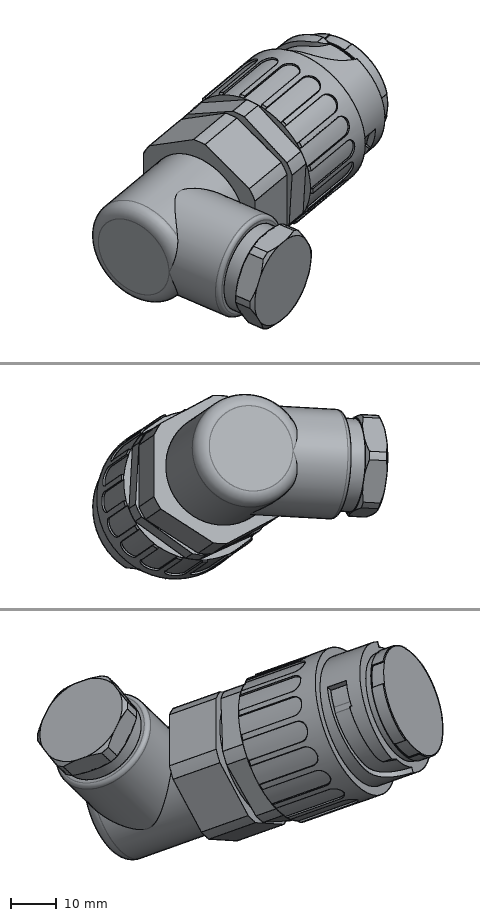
import math

import cadquery as cq


elbow_diameter = 25.0
branch_diameter = 24.0
elbow_start_y = -branch_diameter / 2
elbow_end_y = branch_diameter / 2
elbow_fillet = 3.0
branch_end_x = 23.0
branch_fillet = 1.0

gland_neck_diameter = 20.4
gland_nut_start_x = 26.45
gland_nut_end_x = 31.5
gland_nut_flats = 20.8
gland_nut_diameter = 23.0
gland_nut_chamfer_radial = 1.0
gland_nut_chamfer_axial = 0.6

body_hex_start_y = 12.55
body_hex_end_y = 24.5
ring_hex_start_y = 25.9
grip_start_y = 31.1
grip_end_y = 51.0
bayonet_end_y = 61.15
collar_start_y = 62.6
coupling_end_y = 65.72

coupling_hex_flats = 30.0
coupling_hex_diameter = 33.0
ring_rotation = 3.3

elbow_neck_diameter = 23.0
hex_neck_diameter = 27.0
grip_diameter = 34.0
grip_chamfer = 0.4
bayonet_diameter = 30.0
insert_diameter = 25.0
collar_diameter = 25.6
collar_chamfer = 0.2
collar_lip = 0.15
collar_recess_width = 6.0

flute_count = 18
flute_width = 4.6
flute_depth = 0.45
flute_end_y = 47.2

groove_count = 2
groove_slope = 0.059
groove_slope_angle = math.atan(groove_slope)
groove_floor_radius = 13.8
groove_closed_angle = -87.0
lower_edge = (54.13, -1.2, 10.1)
upper_edge = (58.26, -4.0, 5.3)
groove_sections = 14
tongue_overrun = 5.0
pocket_floor_radius = 13.5
pocket_ramp_top_angle = -63.0
pocket_ramp_foot_angle = -69.0
pocket_widening = 0.5
tip_bevel_start_x = -1.6
tip_bevel_end_x = 0.6

clearance = 2.0


def disc(diameter, start_y, end_y):
    """Cylinder on the coupling axis."""
    base = cq.Workplane("XZ", origin=(0, start_y, 0))
    return base.circle(diameter / 2).extrude(start_y - end_y)


def hexagon(flats, length):
    """Hexagonal prism along Z with two corners on the Y axis."""
    corner_diameter = flats / math.cos(math.pi / 6)
    prism = cq.Workplane("XY").polygon(6, corner_diameter).extrude(length)
    return prism.rotate((0, 0, 0), (0, 0, 1), 90)


def coupling_hexagon(start_y, end_y, rotation):
    """Hexagon on the coupling axis, its corners turned down to a cylinder."""
    length = end_y - start_y
    turned = cq.Workplane("XY").circle(coupling_hex_diameter / 2).extrude(length)
    prism = hexagon(coupling_hex_flats, length).intersect(turned)
    prism = prism.rotate((0, 0, 0), (1, 0, 0), -90).translate((0, start_y, 0))
    return prism.rotate((0, 0, 0), (0, 1, 0), rotation)


def elbow():
    """Round elbow body with the cable branch leaving toward +X."""
    body = disc(elbow_diameter, elbow_start_y, elbow_end_y).faces("<Y").edges().fillet(elbow_fillet)
    branch = cq.Workplane("YZ").circle(branch_diameter / 2).extrude(branch_end_x)
    branch = branch.faces(">X").edges().fillet(branch_fillet)
    return body.union(branch)


def gland_nut():
    """Neck and hexagonal nut at the end of the branch, chamfered at both ends."""
    neck = cq.Workplane("YZ").circle(gland_neck_diameter / 2).extrude(gland_nut_start_x + clearance)
    length = gland_nut_end_x - gland_nut_start_x
    turned = cq.Workplane("XY").circle(gland_nut_diameter / 2).extrude(length)
    turned = turned.faces("<Z").edges().chamfer(gland_nut_chamfer_axial, gland_nut_chamfer_radial)
    turned = turned.faces(">Z").edges().chamfer(gland_nut_chamfer_axial, gland_nut_chamfer_radial)
    nut = hexagon(gland_nut_flats, length).intersect(turned)
    nut = nut.rotate((0, 0, 0), (0, 1, 0), 90).translate((gland_nut_start_x, 0, 0))
    return neck.union(nut)


def grip():
    """Grip sleeve with round-ended flutes open toward the elbow."""
    sleeve = disc(grip_diameter, grip_start_y, grip_end_y).faces("<Y").edges().chamfer(grip_chamfer)
    end_radius = flute_width / 2
    straight_end_y = flute_end_y - end_radius
    cutter = (
        cq.Workplane("XY")
        .moveTo(-end_radius, grip_start_y - clearance)
        .lineTo(end_radius, grip_start_y - clearance)
        .lineTo(end_radius, straight_end_y)
        .threePointArc((0, flute_end_y), (-end_radius, straight_end_y))
        .close()
        .extrude(grip_diameter)
    )
    core = disc(grip_diameter - 2 * flute_depth, grip_start_y - 2 * clearance, grip_end_y)
    cutter = cutter.cut(core)
    for index in range(flute_count):
        angle = ring_rotation + index * 360 / flute_count
        sleeve = sleeve.cut(cutter.rotate((0, 0, 0), (0, 1, 0), angle))
    return sleeve


def ring_point(radius, angle_degrees):
    """(X, Z) point around the coupling axis at an angle from +Z toward +X."""
    angle = math.radians(angle_degrees)
    return radius * math.sin(angle), radius * math.cos(angle)


def bend_center(edge):
    """Center of an edge's circular bend on the unrolled ring, tangent to its helical run."""
    start_y, start, radius = edge
    return start - radius * math.sin(groove_slope_angle), start_y + radius * math.cos(groove_slope_angle)


def edge_height(edge, distance):
    """Y of a groove edge at a distance around the ring: a helix, then a circular bend toward +Y."""
    start_y, start, radius = edge
    if distance < start:
        return start_y + (distance - start) * groove_slope
    center, center_y = bend_center(edge)
    return center_y - math.sqrt(radius**2 - (distance - center) ** 2)


def exit_distance(edge):
    """Distance around the ring at which an edge reaches the ring's free end."""
    center, center_y = bend_center(edge)
    return center + math.sqrt(edge[2] ** 2 - (center_y - bayonet_end_y) ** 2)


def region_above(edge, start_angle, margin):
    """Radial-walled solid above a groove edge, from a start angle to where the edge leaves the ring."""
    ring_radius = bayonet_diameter / 2
    start = math.radians(start_angle) * ring_radius
    end = exit_distance(edge)
    inner_radius = ring_radius - margin
    outer_radius = ring_radius + margin
    top_y = bayonet_end_y + margin
    wires = []
    for index in range(groove_sections + 1):
        distance = start + (end - start) * index / groove_sections
        angle = math.degrees(distance / ring_radius)
        edge_y = edge_height(edge, distance)
        inner_x, inner_z = ring_point(inner_radius, angle)
        outer_x, outer_z = ring_point(outer_radius, angle)
        corners = [
            cq.Vector(inner_x, edge_y, inner_z),
            cq.Vector(outer_x, edge_y, outer_z),
            cq.Vector(outer_x, top_y, outer_z),
            cq.Vector(inner_x, top_y, inner_z),
        ]
        wires.append(cq.Wire.makePolygon(corners, close=True))
    return cq.Workplane(cq.Solid.makeLoft(wires))


def groove_band(upper):
    """Region between the lower edge and the given upper edge, without a floor."""
    tongue = region_above(upper, groove_closed_angle - tongue_overrun, 2 * clearance)
    return region_above(lower_edge, groove_closed_angle, clearance).cut(tongue)


def along_bayonet(outline):
    """Prism over the bayonet ring's length from a closed outline in (X, Z)."""
    length = bayonet_end_y - grip_end_y
    return outline.extrude(-length).translate((0, grip_end_y, 0))


def groove_pocket():
    """Wider and deeper closed end of the groove, reached down a short ramp."""
    outer_radius = bayonet_diameter / 2 + clearance
    ramp_top = ring_point(groove_floor_radius, pocket_ramp_top_angle)
    ramp_foot = ring_point(pocket_floor_radius, pocket_ramp_foot_angle)
    floor_middle = ring_point(pocket_floor_radius, (pocket_ramp_foot_angle + groove_closed_angle) / 2)
    floor_end = ring_point(pocket_floor_radius, groove_closed_angle)
    outer_end = ring_point(outer_radius, groove_closed_angle)
    outer_middle = ring_point(outer_radius, (pocket_ramp_top_angle + groove_closed_angle) / 2)
    outer_start = ring_point(outer_radius, pocket_ramp_top_angle)
    outline = (
        cq.Workplane("XZ")
        .moveTo(*ramp_top)
        .lineTo(*ramp_foot)
        .threePointArc(floor_middle, floor_end)
        .lineTo(*outer_end)
        .threePointArc(outer_middle, outer_start)
        .close()
    )
    edge_y, start, radius = upper_edge
    widened_edge = (edge_y + pocket_widening, start, radius)
    return along_bayonet(outline).intersect(groove_band(widened_edge))


def tip_bevel():
    """Wedge that slopes the tongue tip beside the groove mouth down to the groove floor."""
    ring_radius = bayonet_diameter / 2
    start_z = math.sqrt(ring_radius**2 - tip_bevel_start_x**2)
    outline = cq.Workplane("XZ").polyline(
        [
            (tip_bevel_start_x, start_z),
            (tip_bevel_end_x, groove_floor_radius),
            (tip_bevel_end_x, ring_radius + clearance),
            (tip_bevel_start_x, ring_radius + clearance),
        ]
    )
    above_upper_edge = region_above(upper_edge, groove_closed_angle, clearance)
    return along_bayonet(outline.close()).intersect(above_upper_edge)


def bayonet_ring():
    """Ring with two helical grooves that open at its free end and finish in a deeper pocket."""
    ring = disc(bayonet_diameter, grip_end_y, bayonet_end_y)
    core = disc(2 * groove_floor_radius, grip_end_y, bayonet_end_y + 2 * clearance)
    cutters = [groove_band(upper_edge).cut(core), groove_pocket(), tip_bevel()]
    for index in range(groove_count):
        for cutter in cutters:
            ring = ring.cut(cutter.rotate((0, 0, 0), (0, 1, 0), index * 360 / groove_count))
    return ring


def collar():
    """Front collar with four shallow recesses that leave a thin round lip at its base."""
    ring = disc(collar_diameter, collar_start_y, coupling_end_y).faces(">Y").edges().chamfer(collar_chamfer)
    recess_start_y = collar_start_y + collar_lip
    length = coupling_end_y - recess_start_y
    bars = cq.Workplane("XZ", origin=(0, recess_start_y, 0))
    bars = bars.rect(collar_recess_width, grip_diameter).extrude(-length)
    bars = bars.union(bars.rotate((0, 0, 0), (0, 1, 0), 90))
    return ring.cut(bars.cut(disc(insert_diameter, recess_start_y, coupling_end_y)))


result = (
    elbow()
    .union(gland_nut())
    .union(disc(elbow_neck_diameter, 0, body_hex_start_y))
    .union(coupling_hexagon(body_hex_start_y, body_hex_end_y, 0))
    .union(disc(hex_neck_diameter, body_hex_end_y, ring_hex_start_y))
    .union(coupling_hexagon(ring_hex_start_y, grip_start_y, ring_rotation))
    .union(grip())
    .union(bayonet_ring())
    .union(disc(insert_diameter, bayonet_end_y, collar_start_y))
    .union(collar())
)